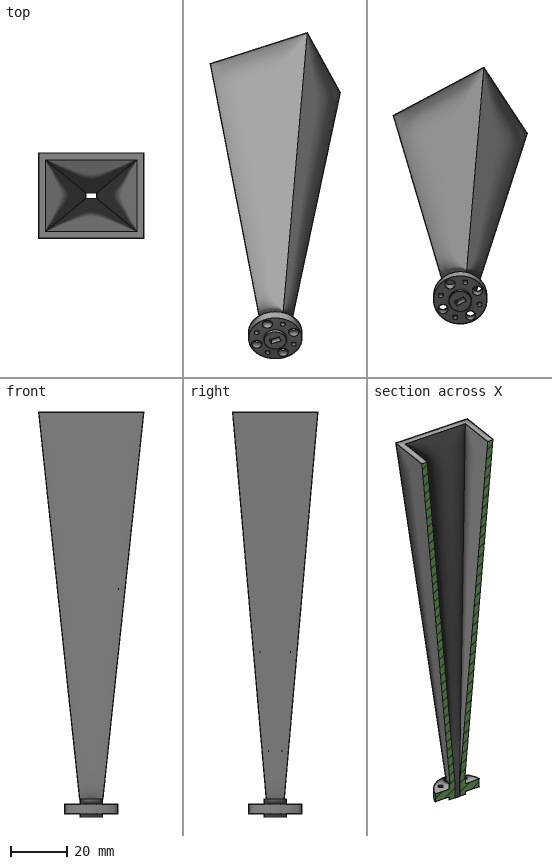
import cadquery as cq

total_height = 144.4
mouth_x = 37.5
mouth_y = 30.5

mouth_wall = 2.5
throat_wall = 2.3
guide_x = 3.8
guide_y = guide_x / 2
throat_x = guide_x + 2 * throat_wall
throat_y = guide_y + 2 * throat_wall

neck_diameter = 8.0
flange_diameter = 19.0
flange_bottom = 1.2
flange_top = 4.6
neck_top = 6.5

hole_circle_radius = 7.15
screw_hole_diameter = 3.6
pin_hole_diameter = 1.7
holes_per_set = 4
pin_hole_start_angle = 45.0


def tapered_block(bottom_x, bottom_y, top_x, top_y):
    """Rectangular frustum from the top of the neck to the horn mouth."""
    return (
        cq.Workplane("XY")
        .workplane(offset=neck_top)
        .rect(bottom_x, bottom_y)
        .workplane(offset=total_height - neck_top)
        .rect(top_x, top_y)
        .loft(ruled=True)
    )


def flange_holes(diameter, start_angle):
    """Cutters for one set of evenly spaced through holes in the flange."""
    return (
        cq.Workplane("XY")
        .workplane(offset=flange_bottom)
        .polarArray(hole_circle_radius, start_angle, 360, holes_per_set)
        .circle(diameter / 2)
        .extrude(flange_top - flange_bottom)
    )


neck = cq.Workplane("XY").circle(neck_diameter / 2).extrude(neck_top)
flange = (
    cq.Workplane("XY")
    .workplane(offset=flange_bottom)
    .circle(flange_diameter / 2)
    .extrude(flange_top - flange_bottom)
    .cut(flange_holes(screw_hole_diameter, 0))
    .cut(flange_holes(pin_hole_diameter, pin_hole_start_angle))
)

horn = tapered_block(throat_x, throat_y, mouth_x, mouth_y)
horn_cavity = tapered_block(
    guide_x, guide_y, mouth_x - 2 * mouth_wall, mouth_y - 2 * mouth_wall
)
guide = cq.Workplane("XY").rect(guide_x, guide_y).extrude(neck_top)

result = neck.union(flange).union(horn).cut(horn_cavity).cut(guide)